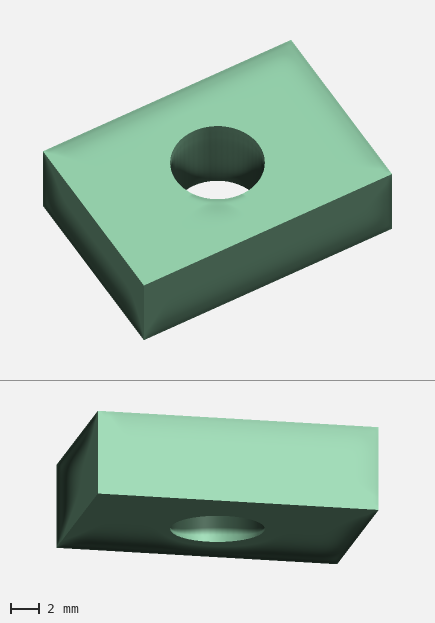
import cadquery as cq

width = 14.0
length = 20.0
height = 6.0

hole_diameter = 6.6

block = cq.Workplane("XY").box(width, length, height)
result = block.faces(">Z").workplane().hole(hole_diameter)